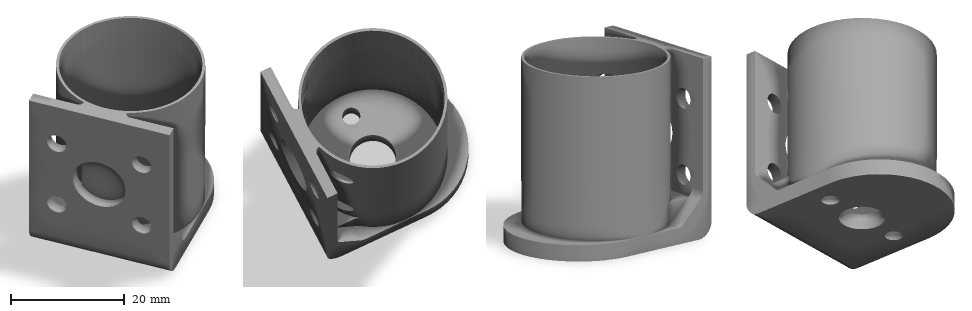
import cadquery as cq
import math

width = 26.5
depth = 32.8
height = 33.0
plate_thickness = 2.0
base_thickness = 3.0
front_edge_radius = 3.0
core_width = 20.6

tube_inner_diameter = 25.3
tube_wall = 0.5
tube_y = 15.5
tube_outer_radius = tube_inner_diameter / 2 + tube_wall

web_width = 8.05
web_fillet = 1.0
block_top = 7.0
block_fillet = 2.5

gusset_leg = 5.0
gusset_fillet = 2.0

recess_diameter = 10.0
recess_z = 17.6
mount_hole_diameter = 3.7
mount_pitch_x = 16.0
mount_pitch_z = 14.0

base_bore_diameter = 8.2
base_hole_diameter = 3.2
base_hole_pitch = 17.05

half_width = width / 2
half_core = core_width / 2


def box(x_min, x_max, y_min, y_max, z_min, z_max):
    size = (x_max - x_min, y_max - y_min, z_max - z_min)
    return cq.Workplane("XY").box(*size, centered=False).translate((x_min, y_min, z_min))


def cylinder_up(diameter, x, y, z_min, z_max):
    return cq.Workplane("XY", origin=(x, y, z_min)).circle(diameter / 2).extrude(z_max - z_min)


def cylinder_back(diameter, x, z, y_min, y_max):
    """Cylinder running along +Y."""
    return cq.Workplane("XZ", origin=(x, y_min, z)).circle(diameter / 2).extrude(y_min - y_max)


def base_outline():
    """Plan of the bracket: square at the front, semicircular at the back."""
    return (
        cq.Workplane("XY")
        .moveTo(-half_width, 0)
        .lineTo(half_width, 0)
        .lineTo(half_width, depth - half_width)
        .threePointArc((0, depth), (-half_width, depth - half_width))
        .close()
        .extrude(height)
    )


def angle_section(x_min, x_max, gusset):
    """L-section of plate and base between two X positions, with an optional corner gusset."""
    corner = [(plate_thickness, base_thickness)]
    if gusset:
        corner = [
            (plate_thickness, base_thickness + gusset_leg),
            (plate_thickness + gusset_leg, base_thickness),
        ]
    points = [(0, 0), (0, height), (plate_thickness, height), *corner, (depth, base_thickness), (depth, 0)]
    section = cq.Workplane("YZ", origin=(x_min, 0, 0)).polyline(points).close().extrude(x_max - x_min)
    section = section.edges(cq.selectors.NearestToPointSelector((x_min / 2 + x_max / 2, 0, 0)))
    section = section.fillet(front_edge_radius)
    if gusset:
        for y, z in corner:
            edge = cq.selectors.NearestToPointSelector((x_min / 2 + x_max / 2, y, z))
            section = section.edges(edge).fillet(gusset_fillet)
    return section.intersect(base_outline())


def make_web():
    """Narrow full-height web from plate to tube, flared by a round at each side of the plate."""
    half_web = web_width / 2
    web = box(-half_web, half_web, plate_thickness, tube_y, base_thickness, height)
    flare_end = half_web + web_fillet
    flare_back = plate_thickness + web_fillet
    middle = web_fillet * (1 - math.sqrt(0.5))
    flare = (
        cq.Workplane("XY", origin=(0, 0, base_thickness))
        .moveTo(half_web, plate_thickness)
        .lineTo(flare_end, plate_thickness)
        .threePointArc((half_web + middle, plate_thickness + middle), (half_web, flare_back))
        .close()
        .extrude(height - base_thickness)
        .cut(cylinder_back(recess_diameter, 0, recess_z, 0, tube_y))
    )
    return web.union(flare).union(flare.mirror("YZ"))


def make_block():
    """Low block as wide as the core, blended into the tube by a concave round at each side."""
    round_x = half_core + block_fillet
    centre_distance = tube_outer_radius + block_fillet
    round_y = tube_y - math.sqrt(centre_distance**2 - round_x**2)
    tangent_share = tube_outer_radius / centre_distance
    tangent_x = round_x * tangent_share
    tangent_y = tube_y - (tube_y - round_y) * tangent_share
    mid_angle = math.atan2(tube_y - round_y, round_x) / 2
    arc_middle = (
        round_x - block_fillet * math.cos(mid_angle),
        round_y + block_fillet * math.sin(mid_angle),
    )
    arc_middle_left = (-arc_middle[0], arc_middle[1])
    return (
        cq.Workplane("XY", origin=(0, 0, base_thickness))
        .moveTo(-half_core, plate_thickness)
        .lineTo(half_core, plate_thickness)
        .lineTo(half_core, round_y)
        .threePointArc(arc_middle, (tangent_x, tangent_y))
        .lineTo(0, tube_y)
        .lineTo(-tangent_x, tangent_y)
        .threePointArc(arc_middle_left, (-half_core, round_y))
        .close()
        .extrude(block_top - base_thickness)
    )


def make_tube_core():
    """Middle strip of the bracket together with the tube."""
    core = angle_section(-half_core, half_core, gusset=False)
    core = core.union(cylinder_up(2 * tube_outer_radius, 0, tube_y, base_thickness, height))
    core = core.union(make_web()).union(make_block())
    core = core.cut(cylinder_up(tube_inner_diameter, 0, tube_y, base_thickness, height))

    core = core.cut(cylinder_back(recess_diameter, 0, recess_z, 0, plate_thickness))

    for x in (-mount_pitch_x / 2, mount_pitch_x / 2):
        for z in (recess_z - mount_pitch_z / 2, recess_z + mount_pitch_z / 2):
            core = core.cut(cylinder_back(mount_hole_diameter, x, z, 0, tube_y))

    core = core.cut(cylinder_up(base_bore_diameter, 0, tube_y, 0, base_thickness))
    for x in (-base_hole_pitch / 2, base_hole_pitch / 2):
        core = core.cut(cylinder_up(base_hole_diameter, x, tube_y, 0, base_thickness))
    return core


def make_side_bracket(x_min, x_max, core):
    """Gusseted L bracket beside the core, relieved where the core's rounds reach into it."""
    return angle_section(x_min, x_max, gusset=True).cut(core)


tube_core = make_tube_core()
side_brackets = []
for x_min, x_max in ((-half_width, -half_core), (half_core, half_width)):
    side_brackets.append(make_side_bracket(x_min, x_max, tube_core).solids().val())

result = cq.Compound.makeCompound([tube_core.solids().val(), *side_brackets])